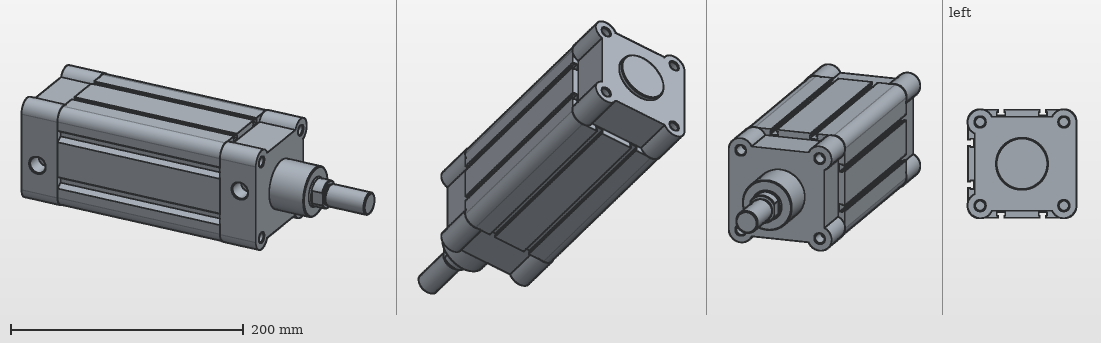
import cadquery as cq

rear_boss_length = 4.0
cover_length = 35.0
body_length = 228.0
nose_end = 261.7
rod_shoulder = 274.0
rod_tip = 314.0
front_cover_start = body_length - cover_length
barrel_length = front_cover_start - cover_length

cover_half = 47.0
hole_offset = 36.0
lobe_radius = cover_half - hole_offset
recess_half = 40.5

barrel_width = 93.0
barrel_half = barrel_width / 2
barrel_corner_radius = barrel_half - hole_offset

slot_offset = 18.0
slot_mouth_width = 5.2
slot_width = 7.0
slot_lip = 2.0
slot_depth = 4.8

groove_offset = 22.0
groove_mouth_width = 11.0
groove_floor_width = 4.3
groove_depth = 5.4

collar_diameter = 45.0
collar_chamfer = 0.8

corner_hole_diameter = 8.5
corner_hole_depth = 16.0
port_diameter = 14.8
port_depth = 16.0
port_inset = 15.6
port_height = 9.5
hole_chamfer = 0.8

rod_diameter = 25.0
rod_chamfer = 0.6
wiper_diameter = 27.0
wiper_length = 1.5
flat_spacing = 22.0
flat_start = nose_end + 2.0
thread_diameter = 20.0
thread_chamfer = 1.0
undercut_diameter = 18.4
undercut_length = 1.4


def section(start):
    """Fresh sketch plane across the axis, with local X along Y and local Y along Z."""
    return cq.Workplane("YZ").workplane(offset=start)


def bar(start, length, diameter):
    """Round bar on the cylinder axis."""
    return section(start).circle(diameter / 2).extrude(length)


def chamfered_hole(start, direction, diameter, depth):
    """Cutter for a blind hole with a chamfered mouth."""
    mouth_radius = diameter / 2 + hole_chamfer
    hole = cq.Solid.makeCylinder(diameter / 2, depth, start, direction)
    mouth = cq.Solid.makeCone(mouth_radius, diameter / 2, hole_chamfer, start, direction)
    return hole.fuse(mouth)


def make_cover(start, outer_face, inward, port_x, port_z):
    """End cover: a block recessed between round corner lobes on all sides but -Y."""
    corners = [(y, z) for y in (-hole_offset, hole_offset) for z in (-hole_offset, hole_offset)]
    cover = section(start).rect(2 * recess_half, 2 * recess_half).extrude(cover_length)
    cover = cover.union(section(start).pushPoints(corners).circle(lobe_radius).extrude(cover_length))

    side_wall = section(start).center(-cover_half / 2, 0).rect(cover_half, 2 * hole_offset)
    cover = cover.union(side_wall.extrude(cover_length))

    for y, z in corners:
        hole_start = cq.Vector(outer_face, y, z)
        cover = cover.cut(
            chamfered_hole(hole_start, cq.Vector(inward, 0, 0), corner_hole_diameter, corner_hole_depth)
        )

    port_start = cq.Vector(port_x, -cover_half, port_z)
    return cover.cut(chamfered_hole(port_start, cq.Vector(0, 1, 0), port_diameter, port_depth))


def make_rear_cover():
    cover = make_cover(0, 0, 1, port_inset, -port_height)
    boss = bar(-rear_boss_length, rear_boss_length, collar_diameter)
    return cover.union(boss.faces("<X").chamfer(collar_chamfer))


def make_front_cover():
    cover = make_cover(front_cover_start, body_length, -1, body_length - port_inset, port_height)
    nose = bar(body_length, nose_end - body_length, collar_diameter)
    return cover.union(nose.faces(">X").chamfer(collar_chamfer))


def t_slot(offset, turn):
    """T-slot cutter for the top side, turned about the cylinder axis by an angle in degrees."""
    mouth_middle = barrel_half - slot_depth / 2
    mouth = section(cover_length).center(offset, mouth_middle).rect(slot_mouth_width, slot_depth)
    cavity_height = slot_depth - slot_lip
    cavity_middle = barrel_half - slot_depth + cavity_height / 2
    cavity = section(cover_length).center(offset, cavity_middle).rect(slot_width, cavity_height)
    slot = mouth.extrude(barrel_length).union(cavity.extrude(barrel_length))
    return slot.rotate((0, 0, 0), (1, 0, 0), turn)


def tapered_groove(offset):
    """Trapezoidal groove cutter for the -Y side."""
    mouth_half = groove_mouth_width / 2
    floor_half = groove_floor_width / 2
    floor_y = groove_depth - barrel_half
    outline = [
        (-barrel_half, offset - mouth_half),
        (floor_y, offset - floor_half),
        (floor_y, offset + floor_half),
        (-barrel_half, offset + mouth_half),
    ]
    return section(cover_length).polyline(outline).close().extrude(barrel_length)


def make_barrel():
    barrel = section(cover_length).rect(barrel_width, barrel_width).extrude(barrel_length)
    barrel = barrel.edges("|X").fillet(barrel_corner_radius)
    for side in (-1, 1):
        for turn in (0, -90, 180):
            barrel = barrel.cut(t_slot(side * slot_offset, turn))
        barrel = barrel.cut(tapered_groove(side * groove_offset))
    return barrel


def make_rod():
    rod = bar(nose_end, rod_shoulder - nose_end, rod_diameter)
    rod = rod.faces(">X").chamfer(rod_chamfer)

    flat_cut_depth = rod_diameter - flat_spacing
    flat_length = rod_shoulder - flat_start
    for side in (-1, 1):
        flat_cut = cq.Workplane("XY").box(flat_length, flat_cut_depth, rod_diameter)
        flat_y = side * (flat_spacing + flat_cut_depth) / 2
        rod = rod.cut(flat_cut.translate((flat_start + flat_length / 2, flat_y, 0)))

    wiper = cq.Solid.makeCone(
        wiper_diameter / 2, rod_diameter / 2, wiper_length, cq.Vector(nose_end, 0, 0), cq.Vector(1, 0, 0)
    )
    undercut = bar(rod_shoulder, undercut_length, undercut_diameter)
    thread_start = rod_shoulder + undercut_length
    thread = bar(thread_start, rod_tip - thread_start, thread_diameter)
    thread = thread.faces("<X or >X").chamfer(thread_chamfer)
    return rod.union(cq.Workplane(wiper)).union(undercut).union(thread)


rear_cover = make_rear_cover()
barrel = make_barrel()
front_cover = make_front_cover()
rod = make_rod()

result = cq.Compound.makeCompound([rear_cover.val(), barrel.val(), front_cover.val(), rod.val()])